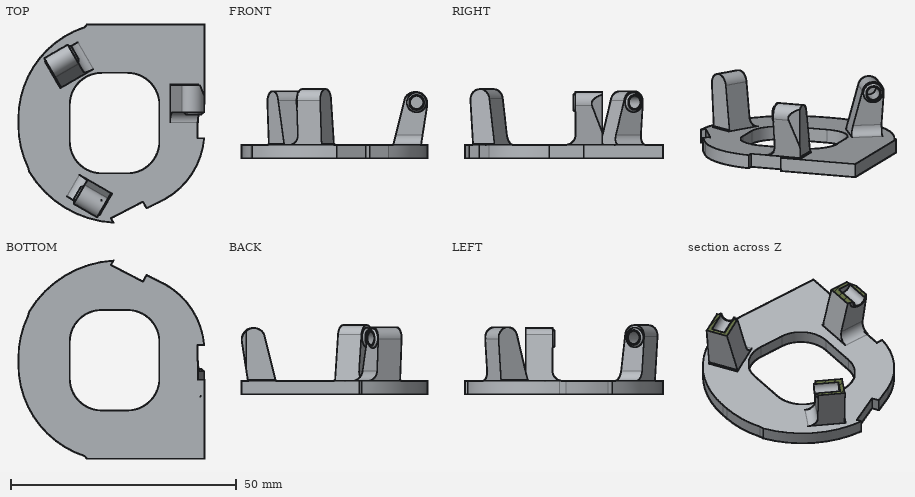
import math

import cadquery as cq

PLATE_THICKNESS = 3.0
PLATE_RIGHT = 20.7
PLATE_TOP = 43.95

RIM_LEFT = -20.62
RIM_RADIUS = 21.35
RIM_UPPER_CENTRE_Y = 23.07
RIM_LOWER_CENTRE_Y = 21.6
RIM_UPPER_END = (-5.95, 43.35)
RIM_LOWER_END_Y = 12.3
TOP_EDGE_START_X = -5.4

LOWER_ARC_START = (-18.2, 11.3)
LOWER_ARC_MIDDLE = (-10.2, 3.3)
LOWER_ARC_END = (0.5, 0.0)

LOWER_NOTCH_INNER_LEFT = (-0.05, 1.0)
LOWER_NOTCH_INNER_RIGHT = (7.0, 4.65)
LOWER_NOTCH_OUTER_RIGHT = (7.8, 3.2)

RIGHT_ARC_START = (11.9, 5.25)
RIGHT_ARC_MIDDLE = (17.85, 10.8)
RIGHT_ARC_END = (20.6, 18.75)
SIDE_NOTCH_X = 19.1
SIDE_NOTCH_TOP_Y = 26.4

OPENING_CENTRE = (0.72, 22.1)
OPENING_WIDTH = 19.8
OPENING_LENGTH = 22.2
OPENING_RADIUS = 7.0

POST_DEPTH = 6.0
TOE_RADIUS = 2.2
HEEL_CHAMFER = 0.25

PIN_LENGTH = 0.5
PIN_BASE_DIAMETER = 4.35
PIN_TIP_DIAMETER = 3.35
PIN_HOLE_DIAMETER = 2.9
PIN_HOLE_DEPTH = 5.5

UNTURNED_FACING = 270
RIGHT_POST = dict(
    facing=270,
    foot_centre=(16.15, 24.5),
    foot_width=6.2,
    shoulders=((-0.54, 13.27), (4.45, 11.74)),
    crown=(1.88, 14.74),
    pin=(2.08, 12.38),
)
UPPER_LEFT_POST = dict(
    facing=30,
    foot_centre=(-7.62, 35.94),
    foot_width=6.86,
    shoulders=((-0.72, 12.92), (4.08, 12.31)),
    crown=(1.66, 14.9),
    pin=(1.66, 12.4),
)
LOWER_POST = dict(
    facing=150,
    foot_centre=(-6.63, 7.19),
    foot_width=5.52,
    shoulders=((-1.43, 13.28), (3.44, 12.9)),
    crown=(1.04, 15.37),
    pin=(1.04, 12.6),
)

CORNER_CUT_BACK_X = 19.65
CORNER_CUT_SIDE_Y = 27.9


def left_rim_point(centre_y, y):
    """Point at height y on a left rim arc whose centre lies at centre_y."""
    inset = RIM_RADIUS - math.sqrt(RIM_RADIUS**2 - (y - centre_y) ** 2)
    return (RIM_LEFT + inset, y)


def make_plate():
    upper_middle_y = (RIM_UPPER_END[1] + RIM_UPPER_CENTRE_Y) / 2
    lower_middle_y = (RIM_LOWER_END_Y + RIM_LOWER_CENTRE_Y) / 2
    plate = (
        cq.Workplane("XY")
        .moveTo(*RIM_UPPER_END)
        .threePointArc(left_rim_point(RIM_UPPER_CENTRE_Y, upper_middle_y), (RIM_LEFT, RIM_UPPER_CENTRE_Y))
        .lineTo(RIM_LEFT, RIM_LOWER_CENTRE_Y)
        .threePointArc(
            left_rim_point(RIM_LOWER_CENTRE_Y, lower_middle_y),
            left_rim_point(RIM_LOWER_CENTRE_Y, RIM_LOWER_END_Y),
        )
        .lineTo(*LOWER_ARC_START)
        .threePointArc(LOWER_ARC_MIDDLE, LOWER_ARC_END)
        .lineTo(*LOWER_NOTCH_INNER_LEFT)
        .lineTo(*LOWER_NOTCH_INNER_RIGHT)
        .lineTo(*LOWER_NOTCH_OUTER_RIGHT)
        .lineTo(*RIGHT_ARC_START)
        .threePointArc(RIGHT_ARC_MIDDLE, RIGHT_ARC_END)
        .lineTo(SIDE_NOTCH_X, RIGHT_ARC_END[1])
        .lineTo(SIDE_NOTCH_X, SIDE_NOTCH_TOP_Y)
        .lineTo(PLATE_RIGHT, SIDE_NOTCH_TOP_Y)
        .lineTo(PLATE_RIGHT, PLATE_TOP)
        .lineTo(TOP_EDGE_START_X, PLATE_TOP)
        .close()
        .extrude(PLATE_THICKNESS)
    )
    opening = (
        cq.Workplane("XY")
        .center(*OPENING_CENTRE)
        .rect(OPENING_WIDTH, OPENING_LENGTH)
        .extrude(PLATE_THICKNESS)
        .edges("|Z")
        .fillet(OPENING_RADIUS)
    )
    return plate.cut(opening)


def make_post_body(foot_width, shoulders, crown):
    """Leaning, round-headed outline crossed with a side outline that carries the toe and heel."""
    half_foot = foot_width / 2
    left_shoulder, right_shoulder = shoulders
    above_head = crown[1] + TOE_RADIUS
    face_outline = (
        cq.Workplane("XZ")
        .moveTo(-half_foot, PLATE_THICKNESS)
        .lineTo(*left_shoulder)
        .threePointArc(crown, right_shoulder)
        .lineTo(half_foot, PLATE_THICKNESS)
        .close()
        .extrude(POST_DEPTH + TOE_RADIUS, both=True)
    )
    side_outline = (
        cq.Workplane("YZ")
        .moveTo(-TOE_RADIUS, PLATE_THICKNESS)
        .radiusArc((0, PLATE_THICKNESS + TOE_RADIUS), -TOE_RADIUS)
        .lineTo(0, above_head)
        .lineTo(POST_DEPTH, above_head)
        .lineTo(POST_DEPTH, PLATE_THICKNESS + HEEL_CHAMFER)
        .lineTo(POST_DEPTH + HEEL_CHAMFER, PLATE_THICKNESS)
        .close()
        .extrude(foot_width, both=True)
    )
    return face_outline.intersect(side_outline)


def make_post(facing, foot_centre, foot_width, shoulders, crown, pin):
    """Post with a hollow tapered pin, made facing -Y and then turned and moved into place."""
    across, height = pin
    taper = (
        cq.Workplane("XZ", origin=(across, 0, height))
        .circle(PIN_BASE_DIAMETER / 2)
        .workplane(offset=PIN_LENGTH)
        .circle(PIN_TIP_DIAMETER / 2)
        .loft()
    )
    hole = (
        cq.Workplane("XZ", origin=(across, -PIN_LENGTH, height))
        .circle(PIN_HOLE_DIAMETER / 2)
        .extrude(-PIN_HOLE_DEPTH)
    )
    post = make_post_body(foot_width, shoulders, crown).union(taper).cut(hole)
    turned = post.rotate((0, 0, 0), (0, 0, 1), facing - UNTURNED_FACING)
    return turned.translate((*foot_centre, 0))


def make_corner_cut():
    """Upright wedge outside a slanted line from the back of the right-hand post to its outer side."""
    back_y = RIGHT_POST["foot_centre"][1] + POST_DEPTH
    beyond_back_y = back_y + HEEL_CHAMFER
    beyond_side_x = PLATE_RIGHT + POST_DEPTH
    return (
        cq.Workplane("XY", origin=(0, 0, PLATE_THICKNESS))
        .moveTo(CORNER_CUT_BACK_X, beyond_back_y)
        .lineTo(CORNER_CUT_BACK_X, back_y)
        .lineTo(PLATE_RIGHT, CORNER_CUT_SIDE_Y)
        .lineTo(beyond_side_x, CORNER_CUT_SIDE_Y)
        .lineTo(beyond_side_x, beyond_back_y)
        .close()
        .extrude(RIGHT_POST["crown"][1])
    )


result = (
    make_plate()
    .union(make_post(**RIGHT_POST).cut(make_corner_cut()))
    .union(make_post(**UPPER_LEFT_POST))
    .union(make_post(**LOWER_POST))
)